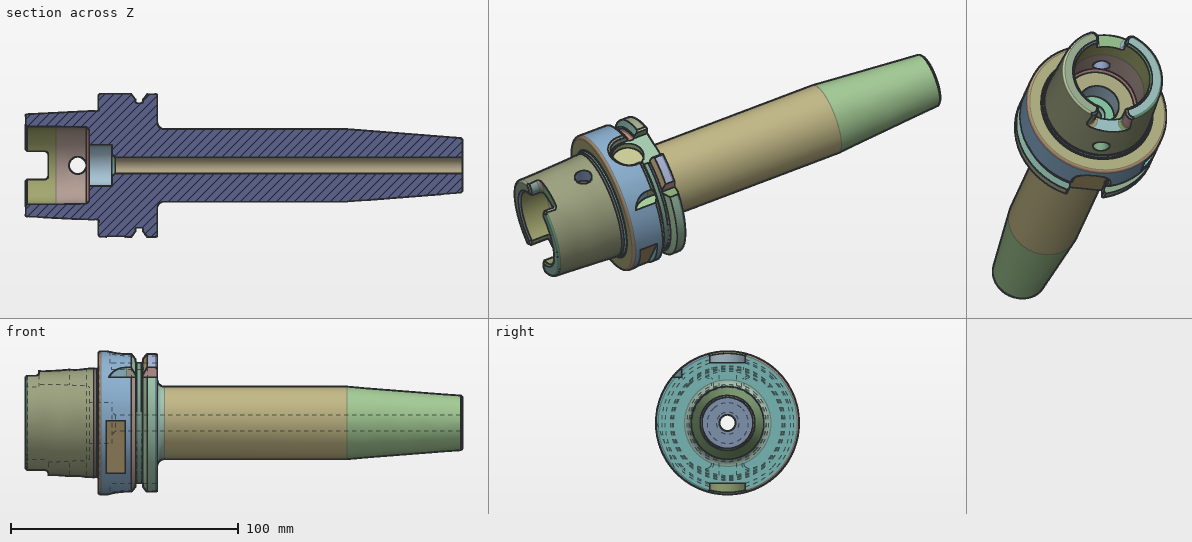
import cadquery as cq
import math

NOSE_X = -32.0
FLANGE_END_X = 26.0
TIP_X = 160.0

SHANK_BASE_R = 24.0
TAPER_RATIO = 1 / 9.98
NOSE_EDGE = 0.9
RELIEF_LENGTH = 1.9
RELIEF_DEPTH = 0.2
FACE_RELIEF_R = 25.2
FACE_RELIEF_DEPTH = 0.3

FLANGE_R = 31.5
FLANGE_FRONT_FILLET = 1.2
FLANGE_REAR_FILLET = 1.0
GROOVE_CENTER_X = 18.0
GROOVE_TOP_WIDTH = 7.0
GROOVE_FLOOR_WIDTH = 3.2
GROOVE_SHOULDER_R = 29.0
GROOVE_FLOOR_R = 27.5
GROOVE_FLOOR_FILLET = 0.6

BODY_R = 16.0
BODY_FILLET = 3.0
TIP_R = 12.0
TIP_CHAMFER = 0.8
TIP_ANGLE = 4.5

BORE_R = 17.0
BORE_FLOOR_X = -4.0
BORE_CONE_START_X = -18.6
BORE_REAR_X = -5.2
BORE_REAR_R = 16.8
BORE_FLOOR_R = 15.7
TUBE_SEAT_R = 9.0
TUBE_SEAT_DEPTH = 10.0
COOLANT_R = 3.5
COOLANT_CHAMFER = 1.4
CROSS_HOLE_X = -9.0
CROSS_HOLE_R = 3.75

DRIVE_SLOT_WIDTH = 12.3
DRIVE_SLOT_CORNER_R = 1.5
DRIVE_SLOT_RIM_R = 3.2
DRIVE_SLOT_RIM_LIFT = 0.3
DRIVE_SLOT_RUN_OUT = 4.0
TOP_DRIVE_SLOT_DEPTH = 6.0
BOTTOM_DRIVE_SLOT_DEPTH = 10.0

KEYWAY_CENTER_X = 12.75
KEYWAY_FLOOR = 26.5
KEYWAY_WIDTH = 15.5
KEYWAY_CHAMFER = 1.0
POCKET_R = 7.0
POCKET_DEPTH = 3.0

NOTCH_OFFSET = 20.0
NOTCH_END_R = 9.0
NOTCH_CENTER_X = 12.4
FLAT_START_X = 3.6
FLAT_END_X = 11.8
FLAT_ANGLE = -21.6
FLAT_HALF_ARC = 23.2

CUT_MARGIN = 1.0
SELECT_MARGIN = 0.2


def shank_radius(x):
    """Radius of the taper; full size where the relief begins."""
    return SHANK_BASE_R + (x + RELIEF_LENGTH) * TAPER_RATIO / 2


def make_body():
    taper_start_x = TIP_X - (BODY_R - TIP_R) / math.tan(math.radians(TIP_ANGLE))
    tip_edge_r = TIP_R + TIP_CHAMFER * math.tan(math.radians(TIP_ANGLE))
    relief_r = SHANK_BASE_R - RELIEF_DEPTH
    profile = (
        cq.Workplane("XY")
        .moveTo(NOSE_X, 0)
        .lineTo(NOSE_X, shank_radius(NOSE_X) - NOSE_EDGE)
        .radiusArc((NOSE_X + NOSE_EDGE, shank_radius(NOSE_X + NOSE_EDGE)), NOSE_EDGE)
        .lineTo(-RELIEF_LENGTH, SHANK_BASE_R)
        .lineTo(-RELIEF_LENGTH * 2 / 3, relief_r)
        .lineTo(-RELIEF_LENGTH / 3, relief_r)
        .lineTo(FACE_RELIEF_DEPTH, SHANK_BASE_R + FACE_RELIEF_DEPTH)
        .lineTo(FACE_RELIEF_DEPTH, FACE_RELIEF_R - FACE_RELIEF_DEPTH)
        .lineTo(0, FACE_RELIEF_R)
        .lineTo(0, FLANGE_R - FLANGE_FRONT_FILLET)
        .radiusArc((FLANGE_FRONT_FILLET, FLANGE_R), FLANGE_FRONT_FILLET)
        .lineTo(FLANGE_END_X, FLANGE_R)
        .lineTo(FLANGE_END_X, BODY_R + BODY_FILLET)
        .radiusArc((FLANGE_END_X + BODY_FILLET, BODY_R), -BODY_FILLET)
        .lineTo(taper_start_x, BODY_R)
        .lineTo(TIP_X - TIP_CHAMFER, tip_edge_r)
        .lineTo(TIP_X, TIP_R - TIP_CHAMFER)
        .lineTo(TIP_X, 0)
        .close()
    )
    return profile.revolve(360, (0, 0, 0), (1, 0, 0))


def make_rear_rounding():
    """Ring of material outside the rounded rear edge of the flange."""
    corner = (
        cq.Workplane("XY")
        .moveTo(FLANGE_END_X - FLANGE_REAR_FILLET, FLANGE_R)
        .radiusArc((FLANGE_END_X, FLANGE_R - FLANGE_REAR_FILLET), FLANGE_REAR_FILLET)
        .lineTo(FLANGE_END_X, FLANGE_R)
        .close()
    )
    return corner.revolve(360, (0, 0, 0), (1, 0, 0))


def make_groove():
    half_top = GROOVE_TOP_WIDTH / 2
    half_floor = GROOVE_FLOOR_WIDTH / 2
    outline = [
        (GROOVE_CENTER_X - half_top, FLANGE_R + CUT_MARGIN),
        (GROOVE_CENTER_X - half_top, FLANGE_R),
        (GROOVE_CENTER_X - half_floor, GROOVE_SHOULDER_R),
        (GROOVE_CENTER_X - half_floor, GROOVE_FLOOR_R),
        (GROOVE_CENTER_X + half_floor, GROOVE_FLOOR_R),
        (GROOVE_CENTER_X + half_floor, GROOVE_SHOULDER_R),
        (GROOVE_CENTER_X + half_top, FLANGE_R),
        (GROOVE_CENTER_X + half_top, FLANGE_R + CUT_MARGIN),
    ]
    groove = cq.Workplane("XY").polyline(outline).close().revolve(360, (0, 0, 0), (1, 0, 0))
    floor_edges = cq.selectors.RadiusNthSelector(0)
    return groove.edges(floor_edges).fillet(GROOVE_FLOOR_FILLET)


def cylinder_x(start_x, end_x, radius):
    return cq.Workplane("YZ", origin=(start_x, 0, 0)).circle(radius).extrude(end_x - start_x)


def make_cone(start_x, start_r, end_x, end_r):
    start = cq.Workplane("YZ", origin=(start_x, 0, 0)).circle(start_r)
    return start.workplane(offset=end_x - start_x).circle(end_r).loft()


def make_bores():
    bore = cylinder_x(NOSE_X, BORE_CONE_START_X, BORE_R)
    cone = make_cone(BORE_CONE_START_X, BORE_R, BORE_REAR_X, BORE_REAR_R)
    floor_bevel = make_cone(BORE_REAR_X, BORE_REAR_R, BORE_FLOOR_X, BORE_FLOOR_R)
    mouth = make_cone(NOSE_X, BORE_R + NOSE_EDGE, NOSE_X + NOSE_EDGE, BORE_R)
    seat_floor_x = BORE_FLOOR_X + TUBE_SEAT_DEPTH
    seat = cylinder_x(BORE_FLOOR_X, seat_floor_x, TUBE_SEAT_R)
    lead_in_end_x = seat_floor_x + COOLANT_CHAMFER
    lead_in = make_cone(seat_floor_x, COOLANT_R + COOLANT_CHAMFER, lead_in_end_x, COOLANT_R)
    coolant = cylinder_x(seat_floor_x, TIP_X, COOLANT_R)
    return bore.union(cone).union(floor_bevel).union(mouth).union(seat).union(lead_in).union(coolant)


def make_cross_hole():
    return cq.Workplane("XY").center(CROSS_HOLE_X, 0).circle(CROSS_HOLE_R).extrude(FLANGE_R, both=True)


def drive_slot_outline(plane, growth=0.0):
    """Slot section opening towards +Z, its rims rounded into the outside of the shank.

    growth moves the whole outline outwards by that amount.
    """
    rim_top_r = shank_radius(NOSE_X + TOP_DRIVE_SLOT_DEPTH) + DRIVE_SLOT_RIM_LIFT
    rim_r = DRIVE_SLOT_RIM_R
    center_y = DRIVE_SLOT_WIDTH / 2 + rim_r
    center_z = math.sqrt((rim_top_r - rim_r) ** 2 - center_y**2)
    arc_r = rim_r - growth
    rim_angle = math.atan2(center_z, center_y)
    mid_angle = (math.pi + rim_angle) / 2
    wall_y = center_y - arc_r

    mid_y = center_y + arc_r * math.cos(mid_angle)
    mid_z = center_z + arc_r * math.sin(mid_angle)
    end_y = center_y + arc_r * math.cos(rim_angle)
    end_z = center_z + arc_r * math.sin(rim_angle)
    run_out_y = end_y + DRIVE_SLOT_RUN_OUT * math.sin(rim_angle)
    run_out_z = end_z - DRIVE_SLOT_RUN_OUT * math.cos(rim_angle)
    return (
        plane.moveTo(-wall_y, 0)
        .lineTo(wall_y, 0)
        .lineTo(wall_y, center_z)
        .threePointArc((mid_y, mid_z), (end_y, end_z))
        .lineTo(run_out_y, run_out_z)
        .lineTo(run_out_y, FLANGE_R)
        .lineTo(-run_out_y, FLANGE_R)
        .lineTo(-run_out_y, run_out_z)
        .lineTo(-end_y, end_z)
        .threePointArc((-mid_y, mid_z), (-wall_y, center_z))
        .close()
    )


def make_drive_slot(depth):
    """Slot across the nose wall on the +Z side."""
    start = cq.Workplane("YZ", origin=(NOSE_X - NOSE_EDGE, 0, 0))
    slot = drive_slot_outline(start).extrude(depth + NOSE_EDGE)
    wall_ends = cq.selectors.BoxSelector(
        (NOSE_X + depth - SELECT_MARGIN, -DRIVE_SLOT_WIDTH, 0),
        (NOSE_X + depth + SELECT_MARGIN, DRIVE_SLOT_WIDTH, SHANK_BASE_R),
    )
    slot = slot.edges(wall_ends).edges("|Z").fillet(DRIVE_SLOT_CORNER_R)
    lead_in = drive_slot_outline(start, 2 * NOSE_EDGE)
    lead_in = drive_slot_outline(lead_in.workplane(offset=2 * NOSE_EDGE)).loft(ruled=True)
    return slot.union(lead_in)


def make_keyway():
    """Round-ended keyway on the +Z side, running out through the rear face of the flange."""
    height = FLANGE_R - KEYWAY_FLOOR
    run = FLANGE_END_X - KEYWAY_CENTER_X
    base = cq.Workplane("XY", origin=(KEYWAY_CENTER_X, 0, KEYWAY_FLOOR))
    round_end = base.circle(KEYWAY_WIDTH / 2).extrude(height)
    channel = base.center(run / 2, 0).rect(run, KEYWAY_WIDTH).extrude(height)
    return round_end.union(channel)


def cut_keyways(part):
    """Cut both keyways and bevel their edges on the outside of the flange."""
    keyway = make_keyway()
    part = part.cut(keyway).cut(keyway.rotate((0, 0, 0), (1, 0, 0), 180))
    half_width = KEYWAY_WIDTH / 2
    edge_z = math.sqrt(FLANGE_R**2 - half_width**2)
    for side in (1, -1):
        box = cq.selectors.BoxSelector(
            (KEYWAY_CENTER_X - KEYWAY_WIDTH, -half_width - SELECT_MARGIN, side * (edge_z - SELECT_MARGIN)),
            (FLANGE_END_X, half_width + SELECT_MARGIN, side * (FLANGE_R + SELECT_MARGIN)),
        )
        part = part.edges(box).chamfer(KEYWAY_CHAMFER)
    return part


def make_pocket():
    """Round pocket sunk into the floor of the +Z keyway."""
    base = cq.Workplane("XY", origin=(KEYWAY_CENTER_X, 0, KEYWAY_FLOOR - POCKET_DEPTH))
    return base.circle(POCKET_R).extrude(POCKET_DEPTH)


def make_notch():
    """Square step along one flange edge in the -Y +Z quadrant, with a round end."""
    height = FLANGE_R - NOTCH_OFFSET
    base = cq.Workplane("XY", origin=(NOTCH_CENTER_X, -NOTCH_OFFSET - NOTCH_END_R, NOTCH_OFFSET))
    round_end = base.circle(NOTCH_END_R).extrude(height)
    run = FLANGE_END_X - NOTCH_CENTER_X
    channel = base.center(run / 2, 0).rect(run, 2 * NOTCH_END_R).extrude(height)
    return round_end.union(channel)


def make_chip_flat():
    """Block whose inner face leaves a flat recess on the flange."""
    width = FLAT_END_X - FLAT_START_X
    distance = FLANGE_R * math.cos(math.radians(FLAT_HALF_ARC))
    block = cq.Workplane("XY").box(width, FLANGE_R, 2 * FLANGE_R)
    block = block.translate((FLAT_START_X + width / 2, -distance - FLANGE_R / 2, 0))
    return block.rotate((0, 0, 0), (1, 0, 0), -FLAT_ANGLE)


result = cut_keyways(make_body())
for tool in (
    make_rear_rounding(),
    make_groove(),
    make_pocket(),
    make_notch(),
    make_chip_flat(),
    make_bores(),
    make_drive_slot(TOP_DRIVE_SLOT_DEPTH),
    make_drive_slot(BOTTOM_DRIVE_SLOT_DEPTH).rotate((0, 0, 0), (1, 0, 0), 180),
    make_cross_hole(),
):
    result = result.cut(tool)